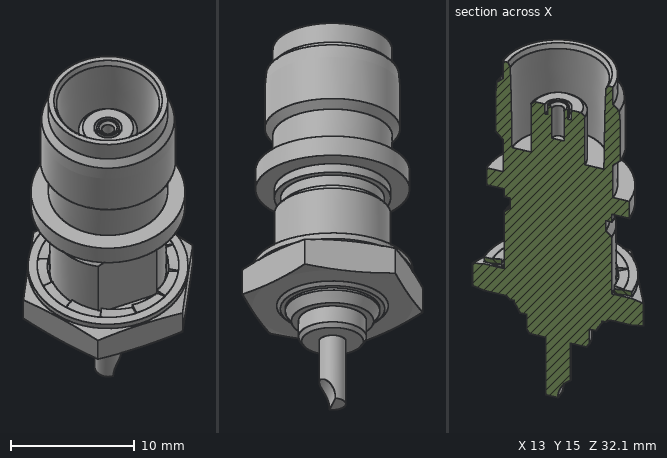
import cadquery as cq
import math


rod_radius = 1.1
scoop_radius = 2.35

ferrule_radius = 2.75
ferrule_bottom = 5.68
ferrule_chamfer_width = 0.25
ferrule_chamfer_height = 0.4
shoulder_bottom = 7.5
shoulder_small_radius = 3.35
shoulder_radius = 3.85
shoulder_cone_top = 8.4

barrel_bottom = 8.6
barrel_radius = 4.72
barrel_chamfer = 0.48
barrel_flat_offset = 3.95
groove_radius = 4.2
groove_bottom = 17.72
groove_top = 18.65
groove_chamfer = barrel_radius - groove_radius

flange_bottom = 19.42
flange_top = 21.15
flange_radius = 6.25
neck_radius = 4.85
head_radius = 5.5
head_bottom = 24.95
head_chamfer = head_radius - neck_radius
head_taper_start = 28.7
head_taper_radius = 5.4
head_taper_end = 29.85
lip_bottom = 30.37
top = 32.1

socket_floor = 23.75
socket_floor_radius = 4.0
socket_radius = 4.17
mouth_radius = 4.4
mouth_depth = 0.42
insulator_top = 28.83
insulator_radius = 2.38
insulator_chamfer = 0.32
contact_radius = 0.9
contact_gap_radius = 1.12
contact_gap_depth = 0.95
pin_hole_radius = 0.5
pin_hole_mouth_radius = 0.75
pin_hole_depth = 3.2

nut_across_flats = 13.0
nut_across_corners = nut_across_flats / math.cos(math.radians(30))
nut_bottom = 8.9
nut_top = 11.6
nut_face_radius = nut_across_flats / 2
nut_corner_drop = 0.22

tooth_count = 12
tooth_twist = 0.15
washer_thickness = 0.5
washer_bottom = nut_top + tooth_twist
washer_radius = nut_across_flats / 2
tooth_root_radius = 5.75
tooth_tip_radius = 4.9


def revolve_profile(points):
    """Turn an outline of (radius, z) points around the Z axis."""
    return cq.Workplane("XZ").polyline(points).close().revolve(360, (0, 0, 0), (0, 1, 0))


def make_rod():
    rod = cq.Workplane("XY").circle(rod_radius).extrude(ferrule_bottom)
    scoop = (
        cq.Workplane("YZ")
        .center(scoop_radius, 0)
        .circle(scoop_radius)
        .extrude(rod_radius, both=True)
    )
    return rod.cut(scoop)


def make_rear():
    return revolve_profile([
        (0, ferrule_bottom),
        (ferrule_radius - ferrule_chamfer_width, ferrule_bottom),
        (ferrule_radius, ferrule_bottom + ferrule_chamfer_height),
        (ferrule_radius, shoulder_bottom),
        (shoulder_small_radius, shoulder_bottom),
        (shoulder_radius, shoulder_cone_top),
        (shoulder_radius, barrel_bottom),
        (0, barrel_bottom),
    ])


def make_barrel():
    barrel = revolve_profile([
        (0, barrel_bottom),
        (barrel_radius - barrel_chamfer, barrel_bottom),
        (barrel_radius, barrel_bottom + barrel_chamfer),
        (barrel_radius, groove_bottom - groove_chamfer),
        (groove_radius, groove_bottom),
        (groove_radius, groove_top),
        (barrel_radius, groove_top),
        (barrel_radius, flange_bottom),
        (0, flange_bottom),
    ])
    flat_cut = (
        cq.Workplane("XY", origin=(barrel_flat_offset, 0, barrel_bottom))
        .rect(2 * barrel_radius, 2 * barrel_radius)
        .extrude(flange_bottom - barrel_bottom)
        .translate((barrel_radius, 0, 0))
    )
    return barrel.cut(flat_cut)


def make_head():
    return revolve_profile([
        (0, flange_bottom),
        (flange_radius, flange_bottom),
        (flange_radius, flange_top),
        (neck_radius, flange_top),
        (neck_radius, head_bottom - head_chamfer),
        (head_radius, head_bottom),
        (head_radius, head_taper_start),
        (head_taper_radius, head_taper_end),
        (neck_radius, lip_bottom),
        (neck_radius, top),
        (0, top),
    ])


def make_socket():
    """Ring-shaped space between the head's wall and the insulator, open at the top."""
    return revolve_profile([
        (insulator_radius, socket_floor),
        (socket_floor_radius, socket_floor),
        (socket_radius, top - mouth_depth),
        (mouth_radius, top),
        (0, top),
        (0, insulator_top),
        (insulator_radius - insulator_chamfer, insulator_top),
        (insulator_radius, insulator_top - insulator_chamfer),
    ])


def make_contact_gap():
    """Ring-shaped gap that sets the centre contact apart from the insulator."""
    return (
        cq.Workplane("XY", origin=(0, 0, insulator_top))
        .circle(contact_gap_radius)
        .circle(contact_radius)
        .extrude(-contact_gap_depth)
    )


def make_pin_hole():
    """Blind hole in the end of the centre contact, with a 45-degree lead-in."""
    hole_floor = insulator_top - pin_hole_depth
    mouth_bottom = insulator_top - (pin_hole_mouth_radius - pin_hole_radius)
    return revolve_profile([
        (0, hole_floor),
        (pin_hole_radius, hole_floor),
        (pin_hole_radius, mouth_bottom),
        (pin_hole_mouth_radius, insulator_top),
        (0, insulator_top),
    ])


def make_nut():
    hexagon = (
        cq.Workplane("XY", origin=(0, 0, nut_bottom))
        .polygon(6, nut_across_corners)
        .extrude(nut_top - nut_bottom)
        .rotate((0, 0, 0), (0, 0, 1), 30)
    )
    corner_radius = nut_across_corners / 2
    corner_envelope = revolve_profile([
        (0, nut_bottom),
        (nut_face_radius, nut_bottom),
        (corner_radius, nut_bottom + nut_corner_drop),
        (corner_radius, nut_top - nut_corner_drop),
        (nut_face_radius, nut_top),
        (0, nut_top),
    ])
    return hexagon.intersect(corner_envelope)


def make_connector():
    connector = make_barrel().union(make_head()).union(make_nut())
    connector = connector.union(make_rear()).union(make_rod())
    return connector.cut(make_socket()).cut(make_contact_gap()).cut(make_pin_hole())


def make_tooth_end(radius, start_angle, end_angle, twist):
    """Four-sided outline across a tooth, raised by twist at its start and lowered at its end."""
    corners = []
    for angle, shift in ((start_angle, twist), (end_angle, -twist)):
        x = radius * math.cos(angle)
        y = radius * math.sin(angle)
        low = cq.Vector(x, y, washer_bottom + shift)
        high = cq.Vector(x, y, washer_bottom + washer_thickness + shift)
        corners.append((low, high))
    (start_low, start_high), (end_low, end_high) = corners
    return cq.Wire.makePolygon([start_low, end_low, end_high, start_high], close=True)


def make_disc(radius):
    """Disc centred on the washer and thicker than its twisted teeth."""
    return (
        cq.Workplane("XY", origin=(0, 0, washer_bottom - washer_thickness))
        .circle(radius)
        .extrude(3 * washer_thickness)
    )


def make_tooth(index):
    """Twisted tooth that flattens out where it runs into the washer's ring."""
    pitch = 2 * math.pi / tooth_count
    start_angle = index * pitch
    end_angle = start_angle + pitch
    root_corner_radius = tooth_root_radius / math.cos(pitch / 2)
    tip = make_tooth_end(tooth_tip_radius, start_angle, end_angle, tooth_twist)
    root = make_tooth_end(root_corner_radius, start_angle, end_angle, 0)
    tooth = cq.Workplane(cq.Solid.makeLoft([tip, root], True))
    return tooth.intersect(make_disc(tooth_root_radius))


def make_lock_washer():
    washer = (
        cq.Workplane("XY", origin=(0, 0, washer_bottom))
        .circle(washer_radius)
        .circle(tooth_root_radius)
        .extrude(washer_thickness)
    )
    for index in range(tooth_count):
        washer = washer.union(make_tooth(index))
    return washer.cut(make_disc(tooth_tip_radius))


connector = make_connector()
lock_washer = make_lock_washer()

result = cq.Compound.makeCompound([connector.solids().val(), lock_washer.solids().val()])